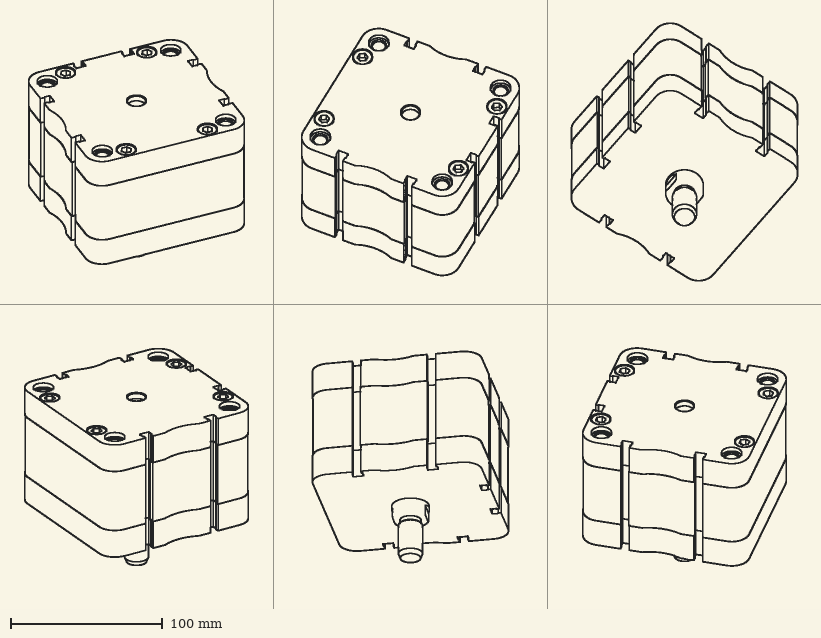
import cadquery as cq
import math

CAP_SIDE = 113.5
CAP_CORNER_RADIUS = 12.0
BARREL_SIDE = 113.0
BARREL_CORNER_RADIUS = 11.8
HALF_SIDE = CAP_SIDE / 2
TOTAL_HEIGHT = 120.0
CAP_HEIGHT = 19.5
BARREL_HEIGHT = 43.1
SCALLOP_CHORD = 26.6
CAP_SCALLOP_DEPTH = 2.9
BARREL_SCALLOP_DEPTH = 2.3
SCALLOP_EDGE_RADIUS = 1.2

CAP_MOUTH_WIDTH = 5.9
BARREL_MOUTH_WIDTH = 5.5
SLOT_INNER_WIDTH = 7.0
FACE_SLOT_OFFSET = 25.1
FACE_SLOT_LIP = 3.2
FACE_SLOT_DEPTH = 7.0
SIDE_SLOT_OFFSET = 17.4
SIDE_SLOT_LIP = 1.9
CAP_SIDE_SLOT_DEPTH = 6.0
BARREL_SIDE_SLOT_DEPTH = 5.6

MOUNT_OFFSET = 44.5
MOUNT_COUNTERBORE = 13.5
MOUNT_COUNTERBORE_DEPTH = 3.0
MOUNT_THREAD = 10.1
MOUNT_CORE = 8.5
MOUNT_DEPTH = 15.6
SCREW_X = 49.1
SCREW_Y = 29.3
SCREW_HEAD = 13.1
SCREW_HEAD_CHAMFER = 0.5
SCREW_RECESS = 0.5
HEX_FLATS = 6.0
HEX_DEPTH = 4.8
CENTRE_BORE = 12.0
CENTRE_BORE_RIM = 13.1
CENTRE_BORE_DEPTH = 4.2

ROD_DIAMETER = 25.0
COLLAR_LENGTH = 10.2
COLLAR_EDGE_RADIUS = 1.8
FLATS_WIDTH = 22.0
FLATS_START = 3.1
NECK_DIAMETER = 14.0
NECK_LENGTH = 2.8
STUD_DIAMETER = 16.0
STUD_TIP_DIAMETER = 13.5
STUD_TIP_LENGTH = 3.2

HOUSING_HEIGHT = BARREL_HEIGHT + 2 * CAP_HEIGHT
HOUSING_BOTTOM = TOTAL_HEIGHT - HOUSING_HEIGHT
BARREL_BOTTOM = HOUSING_BOTTOM + CAP_HEIGHT
BARREL_TOP = BARREL_BOTTOM + BARREL_HEIGHT
COLLAR_BOTTOM = HOUSING_BOTTOM - COLLAR_LENGTH


def box_between(x_start, x_end, y_start, y_end, height):
    """Box that stands on z = 0 between the given X and Y limits."""
    width = x_end - x_start
    length = y_end - y_start
    return cq.Workplane("XY").box(width, length, height, centered=False).translate((x_start, y_start, 0))


def slot_pair(offset, mouth_width, lip, depth, height):
    """Two mirrored T-shaped slots, cut into the left face at plus and minus the offset in Y."""
    face = -HALF_SIDE
    mouth_outer = offset + CAP_MOUTH_WIDTH / 2
    half_inner = SLOT_INNER_WIDTH / 2
    mouth = box_between(face, face + lip, mouth_outer - mouth_width, mouth_outer, height)
    pocket = box_between(face + lip, face + depth, offset - half_inner, offset + half_inner, height)
    slot = mouth.union(pocket)
    return slot.union(slot.mirror("XZ"))


def scallop_cutter(side, depth, height):
    """Cylinder that hollows the back face of a block to the given depth over the scallop chord."""
    radius = ((SCALLOP_CHORD / 2) ** 2 + depth ** 2) / (2 * depth)
    return cq.Workplane("XY").center(0, side / 2 - depth + radius).circle(radius).extrude(height)


def profiled_block(side, corner_radius, height, scallop_depth, mouth_width, side_slot_depth):
    """Rounded square block, standing on z = 0, with the scallops and slots of the housing."""
    block = cq.Workplane("XY").rect(side, side).extrude(height).edges("|Z").fillet(corner_radius)

    scallop = scallop_cutter(side, scallop_depth, height)
    block = block.cut(scallop).cut(scallop.mirror("XZ"))
    scallop_zone = cq.selectors.BoxSelector((-SCALLOP_CHORD, -side, 0), (SCALLOP_CHORD, side, height))
    block = block.edges("|Z").edges(scallop_zone).fillet(SCALLOP_EDGE_RADIUS)

    face_slots = slot_pair(FACE_SLOT_OFFSET, mouth_width, FACE_SLOT_LIP, FACE_SLOT_DEPTH, height)
    side_slots = slot_pair(SIDE_SLOT_OFFSET, mouth_width, SIDE_SLOT_LIP, side_slot_depth, height)
    for quarter_turn in (-90, 90):
        block = block.cut(face_slots.rotate((0, 0, 0), (0, 0, 1), quarter_turn))
    return block.cut(side_slots)


def cap_block():
    """Plain end cap, standing on z = 0."""
    return profiled_block(
        CAP_SIDE,
        CAP_CORNER_RADIUS,
        CAP_HEIGHT,
        CAP_SCALLOP_DEPTH,
        CAP_MOUTH_WIDTH,
        CAP_SIDE_SLOT_DEPTH,
    )


def revolved(points):
    """Solid of revolution about Z from (radius, height) points."""
    return cq.Workplane("XZ").polyline(points).close().revolve(360, (0, 0, 0), (0, 1, 0))


def mounting_hole():
    """Counterbored hole with a countersunk thread core, below z = 0."""
    step = -MOUNT_COUNTERBORE_DEPTH
    countersink = (MOUNT_THREAD - MOUNT_CORE) / 2
    return revolved([
        (0, 0),
        (MOUNT_COUNTERBORE / 2, 0),
        (MOUNT_COUNTERBORE / 2, step),
        (MOUNT_THREAD / 2, step),
        (MOUNT_CORE / 2, step - countersink),
        (MOUNT_CORE / 2, -MOUNT_DEPTH),
        (0, -MOUNT_DEPTH),
    ])


def screw_head_recess():
    """Space above a chamfered socket screw head, with its hexagon socket, below z = 0."""
    radius = SCREW_HEAD / 2
    above_head = revolved([
        (0, 0),
        (radius, 0),
        (radius, -SCREW_RECESS - SCREW_HEAD_CHAMFER),
        (radius - SCREW_HEAD_CHAMFER, -SCREW_RECESS),
        (0, -SCREW_RECESS),
    ])
    hex_corners = HEX_FLATS / math.cos(math.pi / 6)
    socket = cq.Workplane("XY").polygon(6, hex_corners).extrude(-HEX_DEPTH).rotate((0, 0, 0), (0, 0, 1), 30)
    return above_head.union(socket)


def centre_bore():
    """Blind centring bore with a chamfered rim, below z = 0."""
    radius = CENTRE_BORE / 2
    rim_radius = CENTRE_BORE_RIM / 2
    return revolved([
        (0, 0),
        (rim_radius, 0),
        (radius, radius - rim_radius),
        (radius, -CENTRE_BORE_DEPTH),
        (0, -CENTRE_BORE_DEPTH),
    ])


def make_upper_cap():
    cap = cap_block().translate((0, 0, BARREL_TOP))
    cap = cap.cut(centre_bore().translate((0, 0, TOTAL_HEIGHT)))
    for x_side in (-1, 1):
        for y_side in (-1, 1):
            mount_place = (x_side * MOUNT_OFFSET, y_side * MOUNT_OFFSET, TOTAL_HEIGHT)
            screw_place = (x_side * SCREW_X, y_side * SCREW_Y, TOTAL_HEIGHT)
            cap = cap.cut(mounting_hole().translate(mount_place))
            cap = cap.cut(screw_head_recess().translate(screw_place))
    return cap


def make_barrel():
    barrel_block = profiled_block(
        BARREL_SIDE,
        BARREL_CORNER_RADIUS,
        BARREL_HEIGHT,
        BARREL_SCALLOP_DEPTH,
        BARREL_MOUTH_WIDTH,
        BARREL_SIDE_SLOT_DEPTH,
    )
    return barrel_block.translate((0, 0, BARREL_BOTTOM))


def make_lower_cap():
    rod_hole = cq.Workplane("XY").circle(ROD_DIAMETER / 2).extrude(CAP_HEIGHT)
    return cap_block().cut(rod_hole).translate((0, 0, HOUSING_BOTTOM))


def make_piston_rod():
    """Rod through the lower cap, with a collar that has two wrench flats, a neck and a stud."""
    rod_radius = ROD_DIAMETER / 2
    neck_radius = NECK_DIAMETER / 2
    stud_radius = STUD_DIAMETER / 2
    neck_end = COLLAR_BOTTOM - NECK_LENGTH
    rod = revolved([
        (0, 0),
        (STUD_TIP_DIAMETER / 2, 0),
        (stud_radius, STUD_TIP_LENGTH),
        (stud_radius, neck_end - (stud_radius - neck_radius)),
        (neck_radius, neck_end),
        (neck_radius, COLLAR_BOTTOM),
        (rod_radius, COLLAR_BOTTOM),
        (rod_radius, BARREL_BOTTOM),
        (0, BARREL_BOTTOM),
    ])

    widest_edges = cq.selectors.RadiusNthSelector(-1)
    rod = rod.edges("%CIRCLE").edges(widest_edges).edges("<Z").fillet(COLLAR_EDGE_RADIUS)

    flat_top = HOUSING_BOTTOM - FLATS_START
    run_out = rod_radius - FLATS_WIDTH / 2
    flat = (
        cq.Workplane("XZ")
        .moveTo(FLATS_WIDTH / 2, COLLAR_BOTTOM)
        .lineTo(FLATS_WIDTH / 2, flat_top)
        .lineTo(rod_radius, flat_top + run_out)
        .lineTo(rod_radius, COLLAR_BOTTOM)
        .close()
        .extrude(rod_radius, both=True)
    )
    return rod.cut(flat).cut(flat.mirror("YZ"))


upper_cap = make_upper_cap()
barrel = make_barrel()
lower_cap = make_lower_cap()
piston_rod = make_piston_rod()

result = cq.Compound.makeCompound([
    upper_cap.val(),
    barrel.val(),
    lower_cap.val(),
    piston_rod.val(),
])